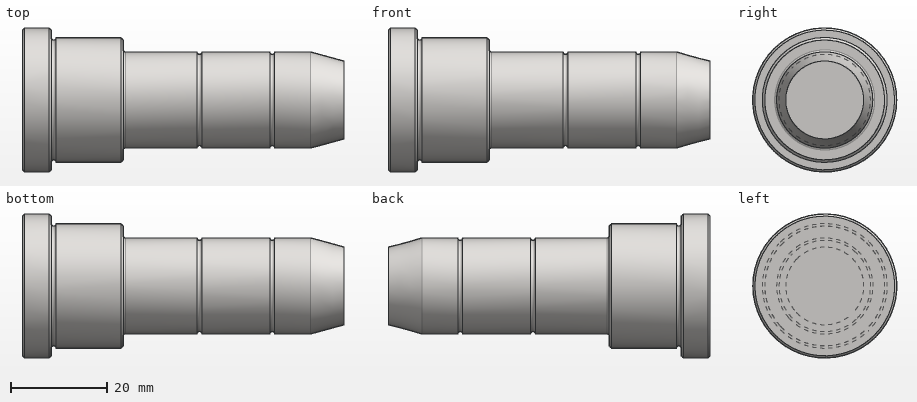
import cadquery as cq

total_length = 67.0
head_diameter = 30.0
shoulder_diameter = 26.0
pin_diameter = 20.0
tip_diameter = 16.2

head_length = 6.0
shoulder_end = 21.05
tip_length = 7.0

head_chamfer = 0.5
shoulder_chamfer = 0.55
root_fillet = 0.4

groove_width = 1.0
groove_radius = groove_width / 2
pin_groove_starts = [36.4, 51.5]


def cylinder(start, end, diameter):
    """Solid cylinder along X between two positions."""
    return cq.Workplane("YZ", origin=(start, 0, 0)).circle(diameter / 2).extrude(end - start)


def groove(start, diameter):
    """Ring of half-round section sunk into a cylinder of the given diameter."""
    return (
        cq.Workplane("XY")
        .center(start + groove_radius, diameter / 2)
        .circle(groove_radius)
        .revolve(360, (0, -diameter / 2), (1, -diameter / 2))
    )


head = cylinder(0, head_length, head_diameter).edges().chamfer(head_chamfer)
shoulder = cylinder(head_length, shoulder_end, shoulder_diameter)
shoulder = shoulder.faces(">X").edges().chamfer(shoulder_chamfer)
shoulder = shoulder.cut(groove(head_length, shoulder_diameter))

tip_start = total_length - tip_length
pin_profile = (
    cq.Workplane("XY")
    .moveTo(shoulder_end, 0)
    .lineTo(shoulder_end, pin_diameter / 2 + root_fillet)
    .radiusArc((shoulder_end + root_fillet, pin_diameter / 2), -root_fillet)
    .lineTo(tip_start, pin_diameter / 2)
    .lineTo(total_length, tip_diameter / 2)
    .lineTo(total_length, 0)
    .close()
)
pin = pin_profile.revolve(360, (0, 0), (1, 0))
for groove_start in pin_groove_starts:
    pin = pin.cut(groove(groove_start, pin_diameter))

result = head.union(shoulder).union(pin)